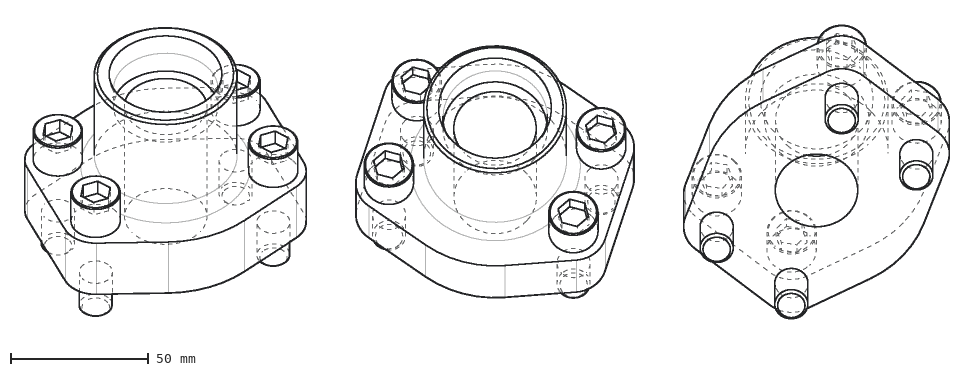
import cadquery as cq
import math

flange_thickness = 25.3
flange_half_length = 47.0
side_radius = 41.4
corner_radius = 12.0

bolt_x = 17.9
bolt_y = flange_half_length - corner_radius

tube_diameter = 52.0
tube_height = 44.9
tube_rim_chamfer_width = 1.2
tube_rim_chamfer_height = 1.0
root_fillet = 5.0

bore_diameter = 30.0
socket_diameter = 38.0
socket_depth = 16.0
cone_mouth_diameter = 41.0
cone_depth = 7.05

head_diameter = 18.0
head_height = 14.3
head_chamfer = 0.5
hex_across_flats = 10.0
hex_depth = 6.0
hex_turn = 30
shank_diameter = 12.0
shank_protrusion = 17.3
shank_tip_chamfer = 1.0

tube_top = flange_thickness + tube_height


def make_flange():
    """Plate bounded by two end edges, four corner arcs and two side arcs, all tangent."""
    center_distance = math.hypot(bolt_x, bolt_y)
    bolt_angle = math.atan2(bolt_y, bolt_x)
    tangent_angle = bolt_angle - math.acos((side_radius - corner_radius) / center_distance)
    corner_mid_angle = (tangent_angle + math.pi / 2) / 2

    def on_corner(angle):
        return (bolt_x + corner_radius * math.cos(angle), bolt_y + corner_radius * math.sin(angle))

    side_x = side_radius * math.cos(tangent_angle)
    side_y = side_radius * math.sin(tangent_angle)
    corner_x, corner_y = on_corner(tangent_angle)
    mid_x, mid_y = on_corner(corner_mid_angle)

    return (
        cq.Workplane("XY")
        .moveTo(-bolt_x, flange_half_length)
        .lineTo(bolt_x, flange_half_length)
        .threePointArc((mid_x, mid_y), (corner_x, corner_y))
        .lineTo(side_x, side_y)
        .threePointArc((side_radius, 0), (side_x, -side_y))
        .lineTo(corner_x, -corner_y)
        .threePointArc((mid_x, -mid_y), (bolt_x, -flange_half_length))
        .lineTo(-bolt_x, -flange_half_length)
        .threePointArc((-mid_x, -mid_y), (-corner_x, -corner_y))
        .lineTo(-side_x, -side_y)
        .threePointArc((-side_radius, 0), (-side_x, side_y))
        .lineTo(-corner_x, corner_y)
        .threePointArc((-mid_x, mid_y), (-bolt_x, flange_half_length))
        .close()
        .extrude(flange_thickness)
    )


def make_neck():
    """Tube with a chamfered rim and a concave fillet flaring onto the flange."""
    radius = tube_diameter / 2
    fillet_center_x = radius + root_fillet
    fillet_center_z = flange_thickness + root_fillet
    fillet_mid_offset = root_fillet * math.sqrt(0.5)
    return (
        cq.Workplane("XZ")
        .lineTo(fillet_center_x, 0)
        .lineTo(fillet_center_x, flange_thickness)
        .threePointArc(
            (fillet_center_x - fillet_mid_offset, fillet_center_z - fillet_mid_offset),
            (radius, fillet_center_z),
        )
        .lineTo(radius, tube_top - tube_rim_chamfer_height)
        .lineTo(radius - tube_rim_chamfer_width, tube_top)
        .lineTo(0, tube_top)
        .close()
        .revolve(360, (0, 0, 0), (0, 1, 0))
    )


def make_bore():
    """Through bore opening into a cylindrical socket with a tapered mouth."""
    socket_floor = tube_top - socket_depth
    return (
        cq.Workplane("XZ")
        .lineTo(bore_diameter / 2, 0)
        .lineTo(bore_diameter / 2, socket_floor)
        .lineTo(socket_diameter / 2, socket_floor)
        .lineTo(socket_diameter / 2, tube_top - cone_depth)
        .lineTo(cone_mouth_diameter / 2, tube_top)
        .lineTo(0, tube_top)
        .close()
        .revolve(360, (0, 0, 0), (0, 1, 0))
    )


def make_bolt():
    """Bolt on the Z axis, its head on the flange and its shank running out below."""
    head_top = flange_thickness + head_height
    hex_across_corners = hex_across_flats / math.cos(math.pi / 6)
    head = (
        cq.Workplane("XY")
        .workplane(offset=flange_thickness)
        .circle(head_diameter / 2)
        .extrude(head_height)
        .faces(">Z")
        .chamfer(head_chamfer)
    )
    hex_socket = (
        cq.Workplane("XY")
        .polygon(6, hex_across_corners)
        .extrude(hex_depth)
        .rotate((0, 0, 0), (0, 0, 1), hex_turn)
        .translate((0, 0, head_top - hex_depth))
    )
    shank = (
        cq.Workplane("XY")
        .workplane(offset=-shank_protrusion)
        .circle(shank_diameter / 2)
        .extrude(shank_protrusion + flange_thickness)
        .faces("<Z")
        .chamfer(shank_tip_chamfer)
    )
    return head.union(shank).cut(hex_socket)


result = make_flange().union(make_neck()).cut(make_bore())
bolt = make_bolt()
for x in (-bolt_x, bolt_x):
    for y in (-bolt_y, bolt_y):
        result = result.union(bolt.translate((x, y, 0)))